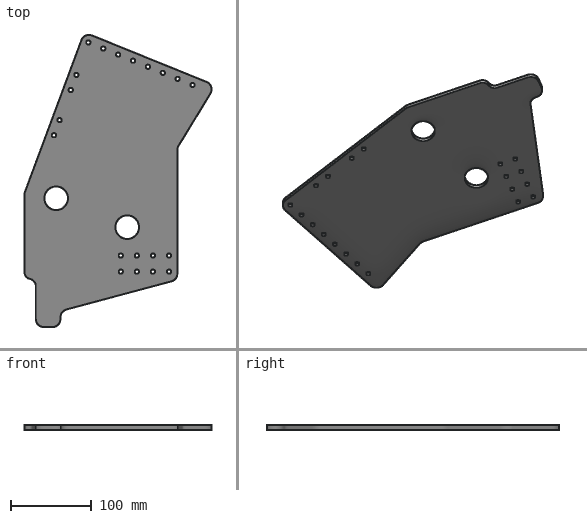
import cadquery as cq
import math

thickness = 6.5
body_width = 190.0
left_knee_y = 166.0
right_knee_y = 222.5
top_left_corner = (74.3, 365.5)
top_right_corner = (237.0, 299.7)
corner_radius = 10.0

tab_left = 14.0
tab_right = 45.0
shoulder_top_y = 61.5
shoulder_drop = 4.0
shoulder_radius = 9.0
bottom_right_y = 58.7
bottom_edge_angle = 15.0

large_hole_diameter = 29.0
large_hole_centers = [(39.5, 160.0), (127.5, 124.0)]
small_hole_diameter = 5.0
hole_pitch = 20.0
grid_start = (119.5, 69.0)
grid_columns = 4
grid_rows = 2
top_row_start = (79.5, 353.0)
top_row_count = 8
top_row_angle = -22.2
side_row_start = (64.5, 312.8)
side_row_angle = -110.4
side_row_steps = [0, 1, 3, 4]


def row_points(start, angle, steps):
    """Points at whole hole pitches from start along a direction in degrees."""
    step_x = hole_pitch * math.cos(math.radians(angle))
    step_y = hole_pitch * math.sin(math.radians(angle))
    return [(start[0] + i * step_x, start[1] + i * step_y) for i in steps]


def make_plate():
    """Plate with sharp corners, then rounded at every corner."""
    bottom_slope = math.tan(math.radians(bottom_edge_angle))
    tab_root_y = bottom_right_y - (body_width - tab_right) * bottom_slope
    shoulder = [(0, shoulder_top_y), (tab_left, shoulder_top_y - shoulder_drop)]
    other_corners = [
        (tab_left, 0),
        (tab_right, 0),
        (tab_right, tab_root_y),
        (body_width, bottom_right_y),
        (body_width, right_knee_y),
        top_right_corner,
        top_left_corner,
        (0, left_knee_y),
    ]
    plate = cq.Workplane("XY").polyline(shoulder + other_corners).close().extrude(thickness)
    for corners, radius in [(shoulder, shoulder_radius), (other_corners, corner_radius)]:
        for x, y in corners:
            corner_edge = cq.selectors.NearestToPointSelector((x, y, thickness / 2))
            plate = plate.edges("|Z").edges(corner_edge).fillet(radius)
    return plate


def drill(plate, centers, diameter):
    """Cut through holes at the given centers."""
    return plate.cut(cq.Workplane("XY").pushPoints(centers).circle(diameter / 2).extrude(thickness))


grid_points = [
    (grid_start[0] + column * hole_pitch, grid_start[1] + row * hole_pitch)
    for column in range(grid_columns)
    for row in range(grid_rows)
]
top_row_points = row_points(top_row_start, top_row_angle, range(top_row_count))
side_row_points = row_points(side_row_start, side_row_angle, side_row_steps)

result = make_plate()
result = drill(result, large_hole_centers, large_hole_diameter)
result = drill(result, grid_points + top_row_points + side_row_points, small_hole_diameter)